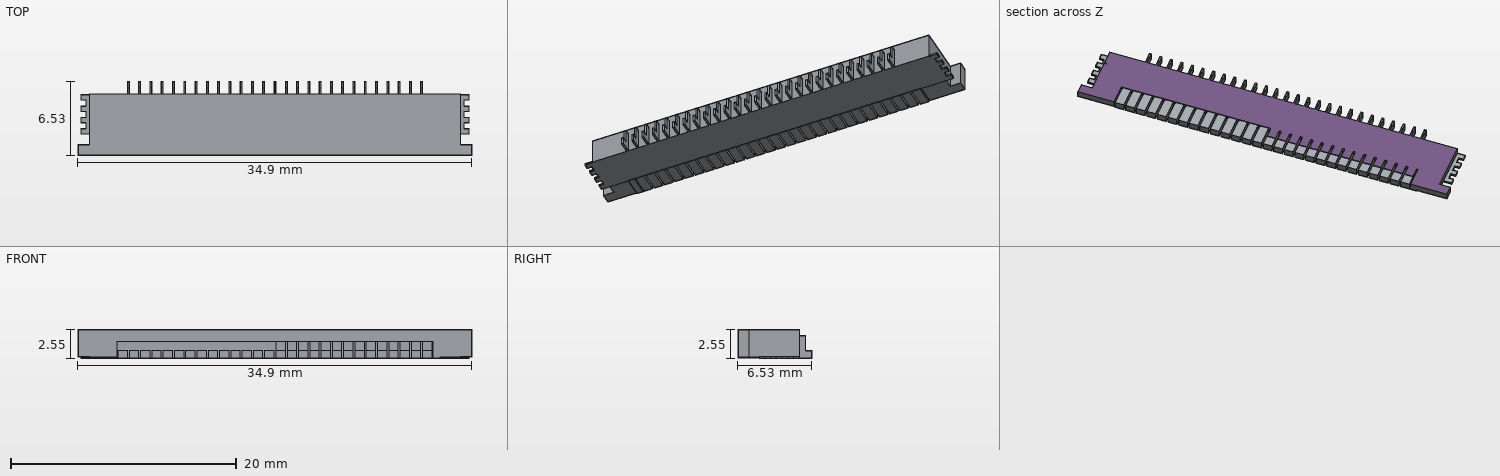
import cadquery as cq


pitch = 1.0
pin_count = 27
pin_width = 0.17

housing_width = 32.9
housing_rear = 5.45
height = 2.55

bar_width = 34.92
bar_depth = 0.95
shoulder_depth = 1.9
bar_clearance = 0.15

opening_width = (pin_count + 1) * pitch
opening_top = 1.5
opening_depth = shoulder_depth

tooth_count = pin_count + 1
tooth_width = pitch - pin_width
tooth_bottom = 0.052
tooth_top = 0.7

foot_width = 0.63

pin_upper_top = 2.03
pin_upper_end = 5.97
pin_foot_top = tooth_top
pin_end = 6.53

tab_thickness = 0.17
tab_root_x = 16.75
tab_tip_x = 17.2
finger_count = 4
finger_width = 0.5
finger_pitch = pitch


def block(x_min, x_max, y_min, y_max, z_min, z_max):
    """Return a box given by its limits along each axis."""
    size = (x_max - x_min, y_max - y_min, z_max - z_min)
    return cq.Workplane("XY").box(*size, centered=False).translate((x_min, y_min, z_min))


def centered_block(x_center, width, y_min, y_max, z_min, z_max):
    """Return a box centred on x_center along X."""
    return block(x_center - width / 2, x_center + width / 2, y_min, y_max, z_min, z_max)


def make_shell():
    """Housing and front bar, with the cable opening cut out."""
    rear_body = centered_block(0, housing_width, shoulder_depth, housing_rear, 0, height)
    shoulders = centered_block(0, housing_width, 0, shoulder_depth, bar_clearance, height)
    bar = centered_block(0, bar_width, 0, bar_depth, bar_clearance, height)
    opening = centered_block(0, opening_width, 0, opening_depth, 0, opening_top)
    return rear_body.union(shoulders).union(bar).cut(opening)


def make_teeth():
    """Floor teeth; those on the +X half carry a set-back rib up to the ceiling."""
    teeth = cq.Workplane("XY")
    for index in range(tooth_count):
        x = (index - (tooth_count - 1) / 2) * pitch
        teeth = teeth.add(centered_block(x, tooth_width, 0, opening_depth, tooth_bottom, tooth_top))
        if x > 0:
            teeth = teeth.add(
                centered_block(x, tooth_width, bar_depth, opening_depth, tooth_top, opening_top)
            )
    return teeth.combine()


def make_foot():
    """Thin foot under the shoulder next to the +X end of the opening."""
    x_start = opening_width / 2
    return block(x_start, x_start + foot_width, 0, shoulder_depth, tooth_bottom, bar_clearance)


def make_pins():
    """Row of L-shaped solder pins behind the housing."""
    pins = cq.Workplane("XY")
    for index in range(pin_count):
        x = (index - (pin_count - 1) / 2) * pitch
        pins = pins.add(centered_block(x, pin_width, housing_rear, pin_upper_end, 0, pin_upper_top))
        pins = pins.add(centered_block(x, pin_width, housing_rear, pin_end, 0, pin_foot_top))
    return pins.combine()


def make_tab():
    """Solder tab on the +X end face: a strip with outward fingers."""
    strip_length = (finger_count - 1) * finger_pitch + finger_width
    strip_end = shoulder_depth + strip_length
    tab = block(housing_width / 2, tab_root_x, shoulder_depth, strip_end, 0, tab_thickness)
    for index in range(finger_count):
        y = shoulder_depth + index * finger_pitch
        tab = tab.union(block(tab_root_x, tab_tip_x, y, y + finger_width, 0, tab_thickness))
    return tab


tab = make_tab()
result = make_shell().union(make_teeth()).union(make_foot()).union(make_pins())
result = result.union(tab).union(tab.mirror("YZ"))